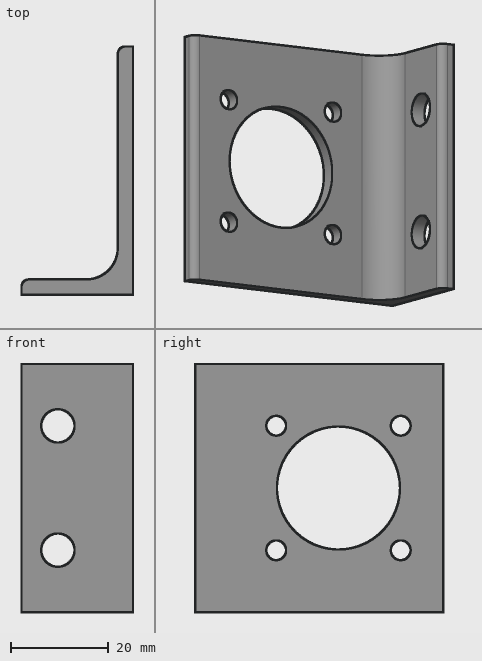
import cadquery as cq

short_leg = 22.86
long_leg = 50.8
height = 50.8
thickness = 3.175
root_radius = 2 * thickness
toe_radius = thickness / 2

mount_hole_diameter = 6.756
mount_hole_spacing = 25.4
mount_hole_from_toe = 7.47

opening_diameter = 25.1
opening_from_toe = 21.47
screw_hole_diameter = 4.0
screw_hole_spacing = 25.46

mid_height = height / 2


def angle_section():
    """L-shaped extrusion with its outer corner on the X = short_leg, Y = 0 edge."""
    inner_x = short_leg - thickness
    outline = (
        cq.Workplane("XY")
        .moveTo(0, 0)
        .lineTo(short_leg, 0)
        .lineTo(short_leg, long_leg)
        .lineTo(inner_x + toe_radius, long_leg)
        .radiusArc((inner_x, long_leg - toe_radius), -toe_radius)
        .lineTo(inner_x, thickness + root_radius)
        .radiusArc((inner_x - root_radius, thickness), root_radius)
        .lineTo(toe_radius, thickness)
        .radiusArc((0, thickness - toe_radius), -toe_radius)
        .close()
    )
    return outline.extrude(height)


def mount_holes():
    """Cutters for the two holes through the short leg."""
    return (
        cq.Workplane("XZ", origin=(mount_hole_from_toe, thickness, mid_height))
        .rarray(1, mount_hole_spacing, 1, 2)
        .circle(mount_hole_diameter / 2)
        .extrude(thickness)
    )


def long_leg_holes():
    """Cutters for the round opening and its square pattern of screw holes."""
    face = cq.Workplane("YZ", origin=(short_leg - thickness, long_leg - opening_from_toe, mid_height))
    opening = face.circle(opening_diameter / 2).extrude(thickness)
    screw_holes = (
        face.rarray(screw_hole_spacing, screw_hole_spacing, 2, 2)
        .circle(screw_hole_diameter / 2)
        .extrude(thickness)
    )
    return opening.union(screw_holes)


result = angle_section().cut(mount_holes()).cut(long_leg_holes())